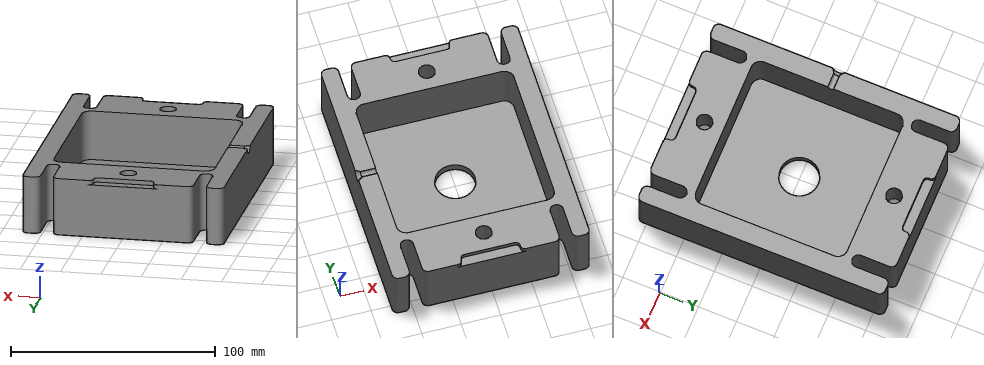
import cadquery as cq

width = 100.0
length = 130.0
height = 29.0
corner_radius = 3.0

slot_width = 6.5
slot_spacing = 76.0
slot_depth = 21.2

pocket_side = 80.0
pocket_corner_radius = 5.0
floor_thickness = 4.0
opening_diameter = 20.0

drill_diameter = 8.0
drill_depth = 15.0
drill_tip_height = 2.3
drill_end_distance = 15.0

notch_width = 30.0
notch_reach = 5.0
notch_depth = 2.2
notch_radius = 2.2

channel_radius = 1.5
channel_mouth_radius = 3.1
channel_mouth_length = 2.3


def make_block():
    """Block with four open slots and rounded upright outer corners."""
    block = cq.Workplane("XY").box(width, length, height, centered=(True, True, False))
    for side in (-1, 1):
        for end in (-1, 1):
            slot = (
                cq.Workplane("XY")
                .center(side * slot_spacing / 2, end * length / 2)
                .slot2D(2 * slot_depth, slot_width, 90)
                .extrude(height)
            )
            block = block.cut(slot)
    return block.faces("<Y or >Y").edges("|Z").fillet(corner_radius)


def make_pocket():
    """Rounded square pocket together with its floor opening."""
    pocket = (
        cq.Workplane("XY", origin=(0, 0, floor_thickness))
        .rect(pocket_side, pocket_side)
        .extrude(height - floor_thickness)
        .edges("|Z")
        .fillet(pocket_corner_radius)
    )
    opening = cq.Workplane("XY").circle(opening_diameter / 2).extrude(height)
    return pocket.union(opening)


def make_drilled_hole(end):
    """Blind hole with a conical tip near the chosen Y end."""
    return (
        cq.Workplane("XZ")
        .moveTo(0, height)
        .lineTo(drill_diameter / 2, height)
        .lineTo(drill_diameter / 2, height - drill_depth)
        .lineTo(0, height - drill_depth - drill_tip_height)
        .close()
        .revolve(360, (0, 0), (0, 1))
        .translate((0, end * (length / 2 - drill_end_distance), 0))
    )


def make_notch(end):
    """Notch whose sides flare into the end face and round into its back wall."""
    half_width = notch_width / 2
    face = end * length / 2
    back = face - end * notch_reach
    flare_end = face - end * notch_radius
    round_start = back + end * notch_radius
    bend = notch_radius * (1 - 0.5**0.5)
    return (
        cq.Workplane("XY", origin=(0, 0, height - notch_depth))
        .moveTo(-half_width - notch_radius, face)
        .threePointArc((-half_width - bend, face - end * bend), (-half_width, flare_end))
        .lineTo(-half_width, round_start)
        .threePointArc((-half_width + bend, back + end * bend), (-half_width + notch_radius, back))
        .lineTo(half_width - notch_radius, back)
        .threePointArc((half_width - bend, back + end * bend), (half_width, round_start))
        .lineTo(half_width, flare_end)
        .threePointArc((half_width + bend, face - end * bend), (half_width + notch_radius, face))
        .close()
        .extrude(notch_depth)
    )


def make_channel():
    """Round channel with a conical mouth, its axis lying in the top face."""
    outer_x = -width / 2
    return (
        cq.Workplane("XZ")
        .moveTo(outer_x, height)
        .lineTo(outer_x, height - channel_mouth_radius)
        .lineTo(outer_x + channel_mouth_length, height - channel_radius)
        .lineTo(-pocket_side / 2, height - channel_radius)
        .lineTo(-pocket_side / 2, height)
        .close()
        .revolve(360, (outer_x, height), (0, height))
    )


result = make_block().cut(make_pocket()).cut(make_channel())
for end in (-1, 1):
    result = result.cut(make_drilled_hole(end)).cut(make_notch(end))